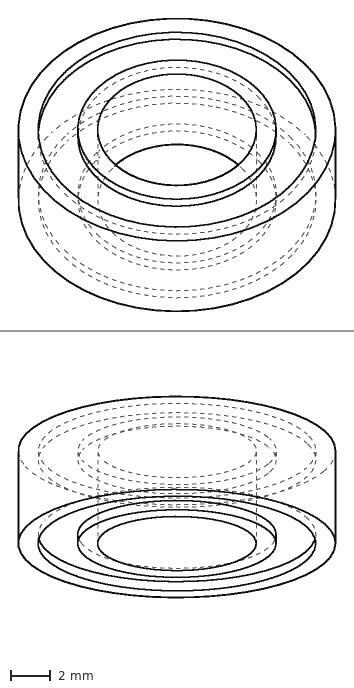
import cadquery as cq

outer_diameter = 16.0
outer_ring_inner_diameter = 14.0
inner_ring_outer_diameter = 10.0
bore_diameter = 8.0
width = 5.0
shield_recess = 0.5


def tube(outer, inner, height):
    """Hollow cylinder centred on the origin."""
    section = cq.Workplane("XY", origin=(0, 0, -height / 2)).circle(outer / 2).circle(inner / 2)
    return section.extrude(height)


outer_ring = tube(outer_diameter, outer_ring_inner_diameter, width)
inner_ring = tube(inner_ring_outer_diameter, bore_diameter, width)

core_width = width - 2 * shield_recess
core = tube(outer_ring_inner_diameter, inner_ring_outer_diameter, core_width)

result = outer_ring.union(core).union(inner_ring)